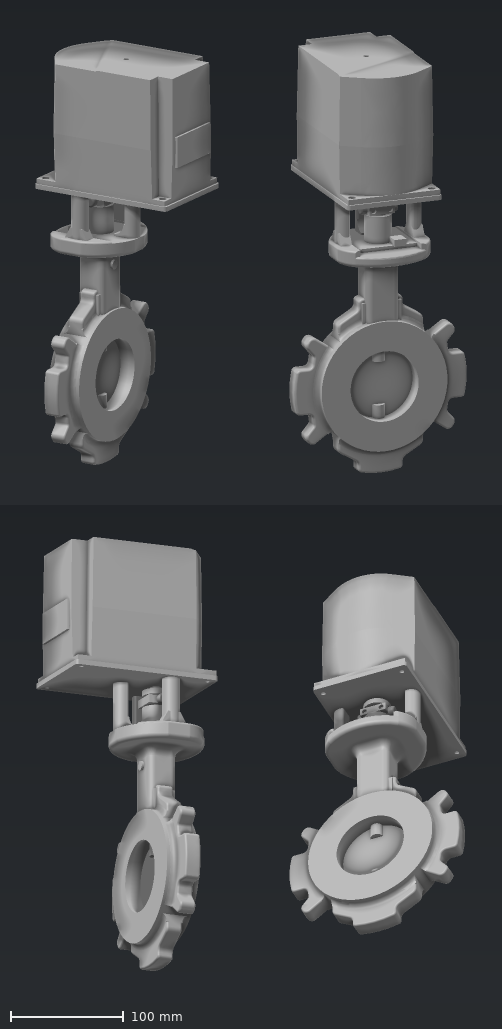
import cadquery as cq
import math


overall_height = 375.8
overlap = 1.0

body_radius = 60.0
body_half_width = 15.7
bore_diameter = 65.0
disc_thickness = 2.0
stub_diameter = 12.0
stub_inner_end = 20.0

lug_half_width = 7.5
lug_reach = 82.3
lug_half_span = 21.0
lug_corner_radius = 3.5
lug_edge_fillet = 2.0
cove_radius = 5.0
hip_half_span = 40.5
hip_inner_level = 40.0
hip_outer_level = 59.2
hip_radius = 6.0
neck_level = 70.5
neck_radius = 6.0
finger_angle = 34.0
finger_root_radius = 50.0
finger_end_radius = 83.3
finger_radius = 5.5
finger_corner_radius = 5.0
web_y = 63.5
web_z = 32.0
web_radius = 3.0
lug_root_y = 65.0
lug_root_radius = 5.0
rib_half_x = 10.0
rib_half_y = 18.6
rib_bottom = 56.0
rib_top = 77.0

stem_half_x = 13.4
stem_half_y = 15.8
stem_corner_radius = 5.8
flare_bottom = 108.3
tab_diameter = 8.5
tab_end = 15.7
tab_level = 101.7

flange_bottom = 117.3
flange_top = 133.0
flange_half_y = 43.9
flange_front = -41.2
flange_corner_x = -30.6
flange_corner_y = 34.0
flange_front_arc_x = -23.0
flange_front_arc_y = 40.5
flange_back_arc = 30.0
flange_flat_start = -13.3
flange_flat_end = 7.2
flange_back = 41.4
flange_bottom_fillet = 4.0
flange_top_fillet = 2.3
flange_corner_radius = 5.0
recess_half_y = 29.0
lip_top = 127.6
lip_back = -20.5
middle_level = 131.0
pointer_start = -21.7
pointer_end = -9.0
pointer_y_low = -18.5
pointer_y_high = -7.0
pointer_top = 136.3

post_width = 16.0
post_inner = 29.4
post_outer = 41.1
post_corner_radius = 2.4
post_base_top = 143.0
post_base_reach = 10.0
post_foot_half_width = 11.5
post_foot_crest_half_width = 6.0

sleeve_diameter = 25.0
sleeve_top = 171.5
shaft_diameter = 12.0
groove_bottom = 156.0
groove_top = 166.5
groove_diameter = 16.0
clamp_bottom = 157.6
clamp_top = 165.0
clamp_front = -10.3
clamp_back = 12.0
clamp_half_y = 12.2
clamp_screw_diameter = 4.6
clamp_screw_y = 8.0
clamp_screw_depth = 3.0
clamp_bolt_head_diameter = 10.0
clamp_bolt_head_end = 17.8
clamp_bolt_head_fillet = 2.0

base_bottom = 174.6
base_top = 179.0
rim_top = 183.8
parting_level = 228.9
housing_top = overall_height - lug_reach
base_front = -40.5
base_back = 96.9
base_half_y = 45.1
base_corner_radius = 3.0
housing_front = -40.0
housing_back = 95.9
housing_half_y = 44.9
upper_draft = 0.9
lower_draft = 1.2
front_corner_x = -19.5
front_tangent_x = -30.5
front_tangent_y = 28.8
notch_x = 79.8
notch_y = 30.6
notch_size = 40.0
notch_draft = 1.15
screw_front_x = -32.8
screw_back_x = 89.2
screw_y = 38.0
screw_hole_diameter = 4.2
screw_head_diameter = 7.0
screw_head_depth = 1.5
step_depth = 1.0
step_width = 4.0
step_low_edge_left = (-18.0, 43.2)
step_low_edge_right = (21.5, -43.2)
top_dimple_diameter = 5.0
top_dimple_x = 27.6
top_dimple_depth = 1.0
cover_half_y = 27.5
cover_bottom = 211.0
cover_top = 239.2
cover_root = 5.0
cover_face = 97.96


def block(x0, x1, y0, y1, z0, z1):
    """Box given by its limits along each axis."""
    return cq.Workplane("XY").box(x1 - x0, y1 - y0, z1 - z0, centered=False).translate((x0, y0, z0))


def z_cylinder(diameter, z0, z1, x=0, y=0):
    return cq.Workplane("XY", origin=(x, y, z0)).circle(diameter / 2).extrude(z1 - z0)


def x_cylinder(diameter, x0, x1, y=0, z=0):
    return cq.Workplane("YZ", origin=(x0, y, z)).circle(diameter / 2).extrude(x1 - x0)


def rounded_plate(side_corners):
    """Plate in the YZ plane, mirrored about Y, whose (y, z, radius) corners are rounded in outline.

    The outer end, at +Y, is an arc centred on the valve axis.
    """
    end_y = math.sqrt(lug_reach**2 - lug_half_span**2)
    upper = side_corners + [(end_y, lug_half_span, lug_corner_radius)]
    lower = [(y, -z, radius) for y, z, radius in reversed(upper)]
    outline = cq.Workplane("YZ").polyline([(y, z) for y, z, _ in upper])
    outline = outline.threePointArc((lug_reach, 0), lower[0][:2])
    for y, z, _ in lower[1:]:
        outline = outline.lineTo(y, z)
    plate = outline.close().extrude(lug_half_width, both=True)
    for y, z, radius in upper + lower:
        if radius > 0:
            plate = plate.edges(cq.selectors.NearestToPointSelector((0, y, z))).fillet(radius)
    return plate


def side_lug():
    """Lug at +Y with a slanting finger on either side of it."""
    angle = math.radians(finger_angle)
    across_y = finger_radius * math.sin(angle)
    across_z = finger_radius * math.cos(angle)
    root_y = finger_root_radius * math.cos(angle)
    root_z = finger_root_radius * math.sin(angle)
    end_y = finger_end_radius * math.cos(angle)
    end_z = finger_end_radius * math.sin(angle)
    corners = [
        (root_y - across_y, root_z + across_z, 0),
        (end_y - across_y, end_z + across_z, finger_corner_radius),
        (end_y + across_y, end_z - across_z, finger_corner_radius),
        (web_y, web_z, web_radius),
        (lug_root_y, lug_half_span, lug_root_radius),
    ]
    return rounded_plate(corners)


def hip_lug():
    """Lug with broad hips, built pointing along +Y and turned to -Z."""
    corners = [
        (hip_inner_level, hip_half_span, 0),
        (hip_outer_level, hip_half_span, hip_radius),
        (neck_level, lug_half_span, neck_radius),
    ]
    return rounded_plate(corners).rotate((0, 0, 0), (1, 0, 0), -90)


def lugs():
    """Four lugs around the body, each blended into the rim by a concave cove."""
    cove_edge = lug_half_width + cove_radius
    cove_outer = body_radius + cove_radius
    cove_mid = cove_radius * (1 - math.sqrt(0.5))
    cove = (
        cq.Workplane("XY").moveTo(-cove_edge, body_radius - overlap)
        .lineTo(-cove_edge, body_radius)
        .threePointArc((-lug_half_width - cove_mid, body_radius + cove_mid), (-lug_half_width, cove_outer))
        .lineTo(lug_half_width, cove_outer)
        .threePointArc((lug_half_width + cove_mid, body_radius + cove_mid), (cove_edge, body_radius))
        .lineTo(cove_edge, body_radius - overlap).close()
        .revolve(360, (0, 0, 0), (1, 0, 0))
    )
    pieces = []
    for plate in (side_lug(), hip_lug()):
        blend = plate.union(plate.translate((cove_radius, 0, 0))).union(plate.translate((-cove_radius, 0, 0)))
        lug = plate.faces("<X or >X").edges().fillet(lug_edge_fillet).union(blend.intersect(cove))
        pieces += [lug, lug.rotate((0, 0, 0), (1, 0, 0), 180)]
    return pieces


def stem_block(z0, z1):
    """Stretch of the stem housing: a rectangle with rounded corners."""
    return (
        block(-stem_half_x, stem_half_x, -stem_half_y, stem_half_y, z0, z1)
        .edges("|Z").fillet(stem_corner_radius)
    )


def valve_body():
    body = x_cylinder(2 * body_radius, -body_half_width, body_half_width)
    stem = stem_block(0, flange_bottom)
    ribs = block(-rib_half_x, rib_half_x, -rib_half_y, rib_half_y, rib_bottom, rib_top)
    tab = x_cylinder(tab_diameter, 0, tab_end, z=tab_level)
    body = body.union(stem).union(ribs).union(tab)
    for lug in lugs():
        body = body.union(lug)
    body = body.cut(x_cylinder(bore_diameter, -body_half_width, body_half_width))
    disc = x_cylinder(bore_diameter + 2 * overlap, -disc_thickness / 2, disc_thickness / 2)
    stub_outer_end = bore_diameter / 2 + overlap
    upper_stub = z_cylinder(stub_diameter, stub_inner_end, stub_outer_end)
    lower_stub = z_cylinder(stub_diameter, -stub_outer_end, -stub_inner_end)
    return body.union(disc).union(upper_stub).union(lower_stub)


def flange_plate(top):
    """Flange outline from the underside up to the given level, rounded above and below."""
    return (
        cq.Workplane("XY", origin=(0, 0, flange_bottom))
        .moveTo(flange_corner_x, -flange_corner_y)
        .threePointArc((flange_front_arc_x, -flange_front_arc_y), (flange_flat_start, -flange_half_y))
        .lineTo(flange_flat_end, -flange_half_y)
        .threePointArc((flange_back_arc, -flange_back_arc), (flange_back, -post_width / 2))
        .lineTo(flange_back, post_width / 2)
        .threePointArc((flange_back_arc, flange_back_arc), (flange_flat_end, flange_half_y))
        .lineTo(flange_flat_start, flange_half_y)
        .threePointArc((flange_front_arc_x, flange_front_arc_y), (flange_corner_x, flange_corner_y))
        .threePointArc((flange_front, 0), (flange_corner_x, -flange_corner_y))
        .close().extrude(top - flange_bottom)
        .edges("|Z").fillet(flange_corner_radius)
        .faces("<Z").edges().fillet(flange_bottom_fillet)
        .faces(">Z").edges().fillet(flange_top_fillet)
    )


def flange():
    """Flange with a lowered middle, a still lower lip in front and a flared neck below."""
    front_lip = block(
        flange_front - overlap, flange_corner_x, -flange_half_y, flange_half_y, flange_bottom, flange_top
    )
    lip_recess = block(flange_front, lip_back, -recess_half_y, recess_half_y, lip_top, flange_top)
    middle_recess = block(lip_back, flange_back, -recess_half_y, recess_half_y, middle_level, flange_top)
    raised = flange_plate(flange_top).cut(front_lip).cut(lip_recess).cut(middle_recess)
    pointer_foot = middle_level - overlap
    pointer = block(pointer_start, pointer_end, pointer_y_low, pointer_y_high, pointer_foot, pointer_top)
    neck = stem_block(flare_bottom - overlap, flange_bottom + overlap)
    near = stem_half_y + overlap
    neck_joint = cq.selectors.BoxSelector(
        (-near, -near, flange_bottom - overlap / 2), (near, near, flange_bottom + overlap / 2)
    )
    plate = flange_plate(lip_top).union(raised).union(neck)
    return plate.edges(neck_joint).fillet(flange_bottom - flare_bottom).union(pointer)


def post_profile(inner_x):
    """D-shaped section from inner_x to the round outer side, raised from the flange to the actuator."""
    half = post_width / 2
    centre = post_outer - half
    return (
        cq.Workplane("XY", origin=(0, 0, middle_level - overlap))
        .moveTo(inner_x, -half).lineTo(centre, -half)
        .threePointArc((post_outer, 0), (centre, half))
        .lineTo(inner_x, half).close()
        .extrude(base_bottom - middle_level + overlap)
    )


def post(foot):
    """Post on the +X side: rounded outside, flat with rounded corners inside."""
    return post_profile(post_inner).edges("|Z and <X").fillet(post_corner_radius).union(foot)


def back_foot():
    """Gusset with a concave inner side."""
    reach = post_base_reach
    base = post_base_top - reach
    mid = reach * (1 - math.sqrt(0.5))
    gusset = (
        cq.Workplane("XZ").moveTo(post_inner - reach, base)
        .threePointArc((post_inner - mid, base + mid), (post_inner, post_base_top))
        .lineTo(post_outer, post_base_top).lineTo(post_outer, middle_level - overlap)
        .lineTo(post_inner - reach, middle_level - overlap).close()
        .extrude(post_width / 2, both=True)
    )
    return gusset.intersect(post_profile(post_inner - reach))


def side_foot():
    """Foot that widens from the post down to the flange."""
    return (
        cq.Workplane("YZ", origin=(post_inner, 0, 0))
        .moveTo(-post_foot_half_width, middle_level - overlap).lineTo(-post_foot_half_width, flange_top)
        .lineTo(-post_foot_crest_half_width, post_base_top).lineTo(post_foot_crest_half_width, post_base_top)
        .lineTo(post_foot_half_width, flange_top).lineTo(post_foot_half_width, middle_level - overlap).close()
        .extrude(post_outer - post_inner - overlap)
    )


def posts():
    axis = ((0, 0, 0), (0, 0, 1))
    side = post(side_foot())
    return post(back_foot()).union(side.rotate(*axis, 90)).union(side.rotate(*axis, -90))


def coupling():
    sleeve = z_cylinder(sleeve_diameter, middle_level - overlap, sleeve_top)
    groove = z_cylinder(sleeve_diameter + 2 * overlap, groove_bottom, groove_top)
    core = z_cylinder(groove_diameter, groove_bottom, groove_top)
    shaft = z_cylinder(shaft_diameter, sleeve_top - overlap, base_bottom + overlap)
    clamp = block(clamp_front, clamp_back, -clamp_half_y, clamp_half_y, clamp_bottom, clamp_top)
    level = (clamp_bottom + clamp_top) / 2
    for y in (-clamp_screw_y, clamp_screw_y):
        screw_end = clamp_front + clamp_screw_depth
        clamp = clamp.cut(x_cylinder(clamp_screw_diameter, clamp_front, screw_end, y, level))
    bolt = (
        cq.Workplane("XZ", origin=(0, 0, level)).circle(clamp_bolt_head_diameter / 2)
        .extrude(clamp_bolt_head_end, both=True)
        .faces("<Y or >Y").edges().fillet(clamp_bolt_head_fillet)
    )
    return sleeve.cut(groove).union(core).union(shaft).union(clamp).union(bolt)


def housing_outline():
    return (
        cq.Workplane("XY", origin=(0, 0, parting_level))
        .moveTo(housing_back, -housing_half_y).lineTo(housing_back, housing_half_y)
        .lineTo(front_corner_x, housing_half_y).lineTo(front_tangent_x, front_tangent_y)
        .threePointArc((housing_front, 0), (front_tangent_x, -front_tangent_y))
        .lineTo(front_corner_x, -housing_half_y).close()
    )


def drafted_rectangle():
    """Full rectangle around the lower housing, with the same draft on its sides."""
    return (
        cq.Workplane("XY", origin=(0, 0, parting_level))
        .moveTo(housing_front, -housing_half_y).lineTo(housing_back, -housing_half_y)
        .lineTo(housing_back, housing_half_y).lineTo(housing_front, housing_half_y).close()
        .extrude(base_top - parting_level, taper=lower_draft)
    )


def top_step():
    """Cutter that lowers the front of the housing top, with a sloped diagonal edge."""
    run_x = step_low_edge_right[0] - step_low_edge_left[0]
    run_y = step_low_edge_right[1] - step_low_edge_left[1]
    across = housing_back - housing_front
    length = 2 * math.hypot(run_x, run_y)
    middle = (
        (step_low_edge_left[0] + step_low_edge_right[0]) / 2,
        (step_low_edge_left[1] + step_low_edge_right[1]) / 2,
        housing_top,
    )
    toward_back = (-run_y, run_x, 0)
    plane = cq.Plane(origin=middle, xDir=toward_back, normal=(run_x, run_y, 0))
    return (
        cq.Workplane(plane).moveTo(-across, 0).lineTo(step_width, 0)
        .lineTo(0, -step_depth).lineTo(-across, -step_depth).close()
        .extrude(length / 2, both=True)
    )


def actuator():
    upper = housing_outline().extrude(housing_top - parting_level, taper=upper_draft)
    lower = housing_outline().extrude(base_top - parting_level, taper=lower_draft)
    rim = drafted_rectangle().intersect(
        block(base_front, base_back, -base_half_y, base_half_y, base_top, rim_top)
    )
    case = upper.union(lower)
    outer_x = notch_x + notch_size
    outer_y = notch_y + notch_size
    for side in (-1, 1):
        notch = (
            cq.Workplane("XY", origin=(0, 0, housing_top))
            .moveTo(notch_x, side * notch_y).lineTo(outer_x, side * notch_y)
            .lineTo(outer_x, side * outer_y).lineTo(notch_x, side * outer_y).close()
            .extrude(rim_top - housing_top, taper=notch_draft)
        )
        case = case.cut(notch)
    case = case.cut(top_step())
    dimple_floor = housing_top - top_dimple_depth
    case = case.cut(z_cylinder(top_dimple_diameter, dimple_floor, housing_top, top_dimple_x))
    base = block(base_front, base_back, -base_half_y, base_half_y, base_bottom, base_top)
    cover = block(housing_back - cover_root, cover_face, -cover_half_y, cover_half_y, cover_bottom, cover_top)
    box = base.edges("|Z").fillet(base_corner_radius).union(rim).union(case).union(cover)
    for x in (screw_front_x, screw_back_x):
        for y in (-screw_y, screw_y):
            box = box.cut(z_cylinder(screw_hole_diameter, base_bottom, rim_top, x, y))
            box = box.cut(z_cylinder(screw_head_diameter, rim_top - screw_head_depth, rim_top, x, y))
    return box


result = valve_body().union(flange()).union(coupling()).union(posts()).union(actuator())